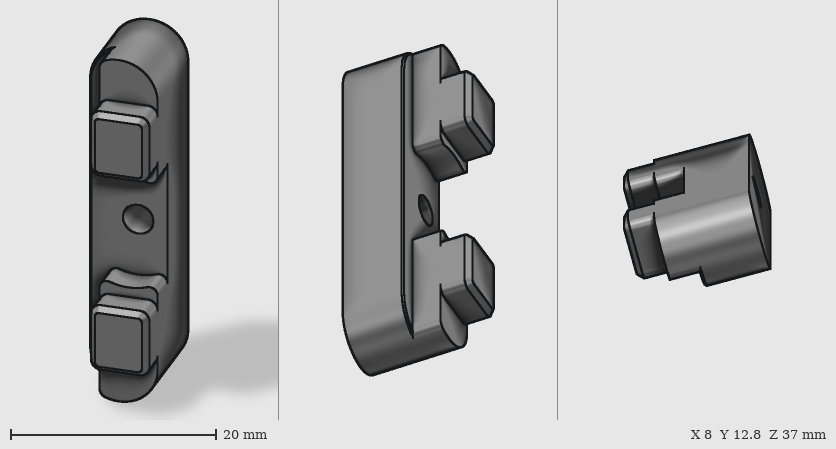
import cadquery as cq

LENGTH = 37.0
WIDTH = 8.0
BODY_DEPTH = 6.6
BODY_CHAMFER = 0.2

PAD_FRONT = 9.62
PAD_INSET = 2.0
PAD_OUTER_RADIUS = 1.0
PAD_INNER_RADIUS = 0.8
RELIEF_RADIUS = 6.0

PEG_FRONT = 12.8
PEG_HEIGHT = 7.0
PEG_OFFSET = 10.5
PEG_CORNER_RADIUS = 1.0
PEG_CHAMFER = 0.6

HOLE_DIAMETER = 3.1

pad_left = PAD_INSET - WIDTH / 2
pad_width = WIDTH - PAD_INSET
pad_center = pad_left + pad_width / 2
pad_back = BODY_DEPTH - BODY_CHAMFER


def plane_at(depth):
    """XZ plane at the given distance in front of the back face, extruding toward -Y."""
    return cq.Workplane("XZ", origin=(0, -depth, 0))


def full_round_bar(start, end):
    """Upright bar with full-round ends, filling the space between two depths."""
    return plane_at(start).slot2D(LENGTH, WIDTH, 90).extrude(end - start)


def make_body():
    """Bar with its front rim chamfered on the left half only."""
    bar = full_round_bar(0, BODY_DEPTH)
    right_half = plane_at(0).center(WIDTH / 4, 0).rect(WIDTH / 2, LENGTH).extrude(BODY_DEPTH)
    return bar.faces("<Y").chamfer(BODY_CHAMFER).union(bar.intersect(right_half))


def make_upper_pad():
    """Pad following the bar end, with a concave inner edge concentric with the hole."""
    pad_depth = PAD_FRONT - pad_back
    pad_strip = (
        plane_at(pad_back)
        .center(pad_center, LENGTH / 4)
        .rect(pad_width, LENGTH / 2)
        .extrude(pad_depth)
    )
    relief = plane_at(pad_back).center(pad_center, 0).circle(RELIEF_RADIUS).extrude(pad_depth)
    pad = full_round_bar(pad_back, PAD_FRONT).intersect(pad_strip).cut(relief)
    pad = pad.edges("|Y").edges("<X").edges(">Z").fillet(PAD_OUTER_RADIUS)
    return pad.edges("|Y").edges("<Z").fillet(PAD_INNER_RADIUS)


def make_upper_peg():
    """Rounded rectangular peg with a chamfered front rim."""
    return (
        plane_at(pad_back)
        .center(pad_center, PEG_OFFSET)
        .rect(pad_width, PEG_HEIGHT)
        .extrude(PEG_FRONT - pad_back)
        .edges("|Y")
        .fillet(PEG_CORNER_RADIUS)
        .faces("<Y")
        .chamfer(PEG_CHAMFER)
    )


upper_end = make_upper_pad().union(make_upper_peg())
lower_end = upper_end.mirror("XY")
hole = plane_at(0).center(pad_center, 0).circle(HOLE_DIAMETER / 2).extrude(BODY_DEPTH)

result = make_body().union(upper_end).union(lower_end).cut(hole)